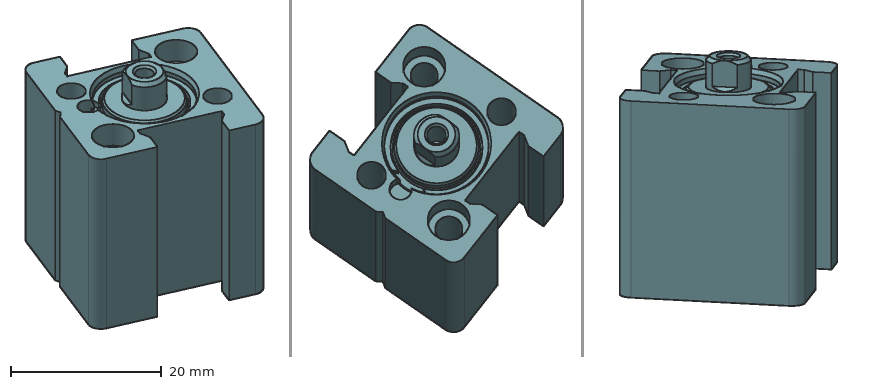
import cadquery as cq

SIDE = 25.0
HALF = SIDE / 2
HEIGHT = 27.0
CORNER_RADIUS = 1.8

SLOT_Y_TOP = 3.32
SLOT_Y_BOTTOM = -6.95
SLOT_UNDERCUT = 0.88
SLOT_LIP_DEPTH = 2.5
SLOT_TAPER_END = 3.87
SLOT_DEPTH = 4.7

V_WIDTH = 1.6
V_DEPTH = 0.52

BOLT_OFFSET = 7.75
BOLT_DIAMETER = 3.6
BOLT_HEAD_DIAMETER = 5.6
BOLT_HEAD_DEPTH = 3.42
PLAIN_HOLE_X = 4.27
PLAIN_HOLE_Y = 8.72
PLAIN_HOLE_DIAMETER = 3.8

BORE_DIAMETER = 13.7
ENTRY_DIAMETER = 13.82
BORE_MOUTH_DIAMETER = 14.5
BORE_MOUTH_DEPTH = 0.67
RING_DEPTH = 1.3
GROOVE_DEPTH = 1.8
SEAT_DEPTH = 2.2
GROOVE_DIAMETER = 14.5
SEAT_CONE_DIAMETER = 14.2

RELIEF_DIAMETER = 2.95
RELIEF_Y = -8.02

RING_INNER_DIAMETER = 12.2
GAP_INNER_HALF = 1.98
GAP_INNER_Y = -5.73
GAP_OUTER_HALF = 2.95
GAP_OUTER_Y = -6.22

COLLAR_HEIGHT = 4.0
BOSS_DIAMETER = 11.2
BOSS_FOOT_DIAMETER = 11.68
BOSS_FOOT_HEIGHT = 0.25
BOSS_CHAMFER = 0.27
BOSS_TOP_DEPTH = 0.73

ROD_DIAMETER = 6.0
ROD_TOP = 30.5
ROD_CHAMFER = 0.52
FLAT_WIDTH = 5.0
FLAT_HEIGHT = 3.63
TAP_DIAMETER = 2.47
TAP_MOUTH_DIAMETER = 3.1
TAP_DEPTH = 6.0

RING_TOP = HEIGHT - RING_DEPTH
GROOVE_BOTTOM = HEIGHT - GROOVE_DEPTH
SEAT = HEIGHT - SEAT_DEPTH
COLLAR_BOTTOM = SEAT - COLLAR_HEIGHT


def cylinder(diameter, bottom, top, x=0.0, y=0.0):
    return cq.Workplane("XY", origin=(x, y, bottom)).circle(diameter / 2).extrude(top - bottom)


def cone(bottom_diameter, top_diameter, bottom, top):
    solid = cq.Solid.makeCone(
        bottom_diameter / 2, top_diameter / 2, top - bottom, pnt=cq.Vector(0, 0, bottom)
    )
    return cq.Workplane(obj=solid)


def prism(points, bottom, top):
    return cq.Workplane("XY", origin=(0, 0, bottom)).polyline(points).close().extrude(top - bottom)


def make_side_slot():
    points = [
        (-HALF, SLOT_Y_TOP),
        (-HALF + SLOT_LIP_DEPTH, SLOT_Y_TOP),
        (-HALF + SLOT_TAPER_END, SLOT_Y_TOP + SLOT_UNDERCUT),
        (-HALF + SLOT_DEPTH, SLOT_Y_TOP + SLOT_UNDERCUT),
        (-HALF + SLOT_DEPTH, SLOT_Y_BOTTOM - SLOT_UNDERCUT),
        (-HALF + SLOT_TAPER_END, SLOT_Y_BOTTOM - SLOT_UNDERCUT),
        (-HALF + SLOT_LIP_DEPTH, SLOT_Y_BOTTOM),
        (-HALF, SLOT_Y_BOTTOM),
    ]
    return prism(points, 0, HEIGHT)


def make_v_groove():
    points = [(-V_WIDTH / 2, -HALF), (0, -HALF + V_DEPTH), (V_WIDTH / 2, -HALF)]
    return prism(points, 0, HEIGHT)


def make_ring_space():
    groove = cylinder(GROOVE_DIAMETER, GROOVE_BOTTOM, RING_TOP)
    return groove.union(cone(BORE_DIAMETER, SEAT_CONE_DIAMETER, SEAT, GROOVE_BOTTOM))


def make_housing():
    block = cq.Workplane("XY").box(SIDE, SIDE, HEIGHT, centered=(True, True, False))
    block = block.edges("|Z").fillet(CORNER_RADIUS)
    block = block.cut(make_v_groove())
    slot = make_side_slot()
    for side in (1, -1):
        block = block.cut(slot)
        slot = slot.rotate((0, 0, 0), (0, 0, 1), 180)
        bolt_x = -side * BOLT_OFFSET
        bolt_y = side * BOLT_OFFSET
        block = block.cut(cylinder(BOLT_DIAMETER, 0, HEIGHT, bolt_x, bolt_y))
        block = block.cut(cylinder(BOLT_HEAD_DIAMETER, HEIGHT - BOLT_HEAD_DEPTH, HEIGHT, bolt_x, bolt_y))
        block = block.cut(cylinder(PLAIN_HOLE_DIAMETER, 0, HEIGHT, side * PLAIN_HOLE_X, side * PLAIN_HOLE_Y))
    block = block.cut(cylinder(BORE_DIAMETER, COLLAR_BOTTOM, HEIGHT))
    block = block.cut(cylinder(ENTRY_DIAMETER, RING_TOP, HEIGHT))
    block = block.cut(cone(ENTRY_DIAMETER, BORE_MOUTH_DIAMETER, HEIGHT - BORE_MOUTH_DEPTH, HEIGHT))
    block = block.cut(make_ring_space())
    return block.cut(cylinder(RELIEF_DIAMETER, GROOVE_BOTTOM, HEIGHT, 0, RELIEF_Y))


def make_retaining_ring():
    ring = make_ring_space().cut(cylinder(RING_INNER_DIAMETER, SEAT, RING_TOP))
    slope = (GAP_OUTER_HALF - GAP_INNER_HALF) / (GAP_INNER_Y - GAP_OUTER_Y)
    apex_y = GAP_INNER_Y + GAP_INNER_HALF / slope
    far_half = GAP_OUTER_HALF + slope * (GAP_OUTER_Y + HALF)
    gap = [(0, apex_y), (far_half, -HALF), (-far_half, -HALF)]
    return ring.cut(prism(gap, SEAT, RING_TOP))


def make_collar():
    boss_top = HEIGHT - BOSS_TOP_DEPTH
    collar = cylinder(BORE_DIAMETER, COLLAR_BOTTOM, SEAT)
    collar = collar.union(cone(BOSS_FOOT_DIAMETER, BOSS_DIAMETER, SEAT, SEAT + BOSS_FOOT_HEIGHT))
    collar = collar.union(cylinder(BOSS_DIAMETER, SEAT, boss_top).faces(">Z").chamfer(BOSS_CHAMFER))
    return collar.cut(cylinder(ROD_DIAMETER, COLLAR_BOTTOM, boss_top))


def make_rod():
    rod = cylinder(ROD_DIAMETER, COLLAR_BOTTOM, ROD_TOP)
    rod = rod.faces(">Z").chamfer(ROD_CHAMFER)
    flat_bottom = ROD_TOP - FLAT_HEIGHT
    flat_y = FLAT_WIDTH / 2
    runout = (ROD_DIAMETER - FLAT_WIDTH) / 2
    profile = [
        (flat_y, ROD_TOP),
        (flat_y, flat_bottom),
        (flat_y + 2 * runout, flat_bottom - 2 * runout),
        (flat_y + 2 * runout, ROD_TOP),
    ]
    waste = cq.Workplane("YZ").polyline(profile).close().extrude(ROD_DIAMETER / 2, both=True)
    for angle in (0, 180):
        rod = rod.cut(waste.rotate((0, 0, 0), (0, 0, 1), angle))
    rod = rod.cut(cylinder(TAP_DIAMETER, ROD_TOP - TAP_DEPTH, ROD_TOP))
    mouth_depth = (TAP_MOUTH_DIAMETER - TAP_DIAMETER) / 2
    return rod.cut(cone(TAP_DIAMETER, TAP_MOUTH_DIAMETER, ROD_TOP - mouth_depth, ROD_TOP))


housing = make_housing()
retaining_ring = make_retaining_ring()
collar = make_collar()
rod = make_rod()
result = cq.Compound.makeCompound([housing.val(), retaining_ring.val(), collar.val(), rod.val()])